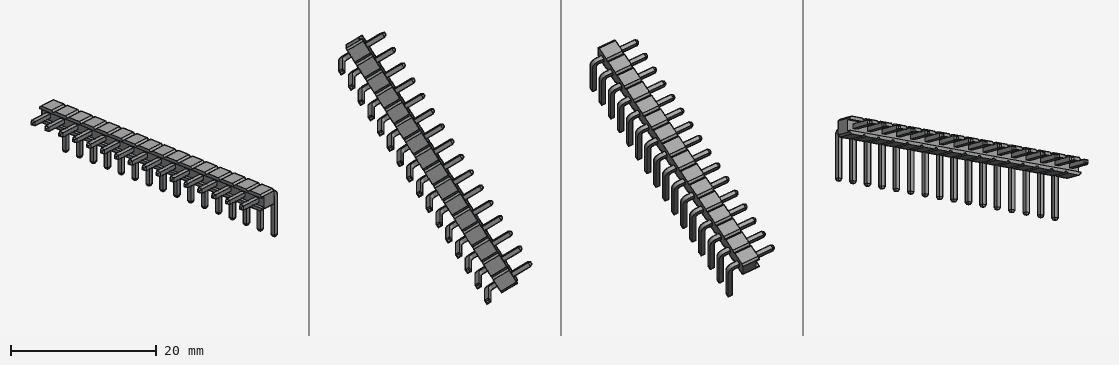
import cadquery as cq

row_length = 40.65
pin_count = 16
pitch = row_length / pin_count

housing_height = 2.5
housing_depth = 2.55
bevel_width = 0.305
bevel_depth = 0.265
lip_length = 0.5
lip_thickness = 0.5

pin_size = 0.65
pin_reach_front = 2.95
pin_reach_back = 1.8
overall_height = 8.25
bend_outer_radius = 1.0
tip_length = 0.305
tip_inset = 0.142

housing_top_z = housing_height / 2
housing_back_y = housing_depth / 2
lip_end_y = -housing_depth / 2
pin_front_y = lip_end_y - pin_reach_front
leg_back_y = housing_back_y + pin_reach_back
leg_bottom_z = housing_top_z - overall_height
leg_centre_y = leg_back_y - pin_size / 2
bend_radius = bend_outer_radius - pin_size / 2
first_pin_x = (pitch - row_length) / 2


def make_segment(x):
    """One pitch of the housing, with its four long corners bevelled."""
    side = pitch / 2
    flat = side - bevel_width
    shoulder_z = housing_top_z - bevel_depth
    return (
        cq.Workplane("XZ", origin=(x, housing_back_y, 0))
        .polyline([
            (-side, shoulder_z), (-flat, housing_top_z), (flat, housing_top_z), (side, shoulder_z),
            (side, -shoulder_z), (flat, -housing_top_z), (-flat, -housing_top_z), (-side, -shoulder_z),
        ])
        .close()
        .extrude(housing_depth)
    )


def make_front_channel():
    """The space between the two front lips, open along the whole row."""
    return (
        cq.Workplane("XY")
        .box(row_length, lip_length, housing_height - 2 * lip_thickness)
        .translate((0, lip_end_y + lip_length / 2, 0))
    )


def make_tip(plane):
    """A tapered square pin end, growing along the normal of the plane."""
    tip_size = pin_size - 2 * tip_inset
    return (
        cq.Workplane(plane)
        .rect(pin_size, pin_size)
        .workplane(offset=tip_length)
        .rect(tip_size, tip_size)
        .loft(combine=True)
    )


def make_pin(x):
    """A right-angled square pin with a tapered tip at each end."""
    front_shoulder = (x, pin_front_y + tip_length, 0)
    leg_shoulder = (x, leg_centre_y, leg_bottom_z + tip_length)
    bend_start_y = leg_centre_y - bend_radius
    path = (
        cq.Workplane("YZ", origin=(x, 0, 0))
        .moveTo(front_shoulder[1], 0)
        .lineTo(bend_start_y, 0)
        .tangentArcPoint((leg_centre_y, -bend_radius), relative=False)
        .lineTo(leg_centre_y, leg_shoulder[2])
    )
    front_plane = cq.Plane(origin=front_shoulder, xDir=(1, 0, 0), normal=(0, -1, 0))
    leg_plane = cq.Plane(origin=leg_shoulder, xDir=(1, 0, 0), normal=(0, 0, -1))
    wire = cq.Workplane(front_plane).rect(pin_size, pin_size).sweep(path)
    return wire.union(make_tip(front_plane)).union(make_tip(leg_plane))


pin_places = [first_pin_x + index * pitch for index in range(pin_count)]

result = make_segment(pin_places[0])
for pin_x in pin_places[1:]:
    result = result.union(make_segment(pin_x))
result = result.cut(make_front_channel())
for pin_x in pin_places:
    result = result.union(make_pin(pin_x))